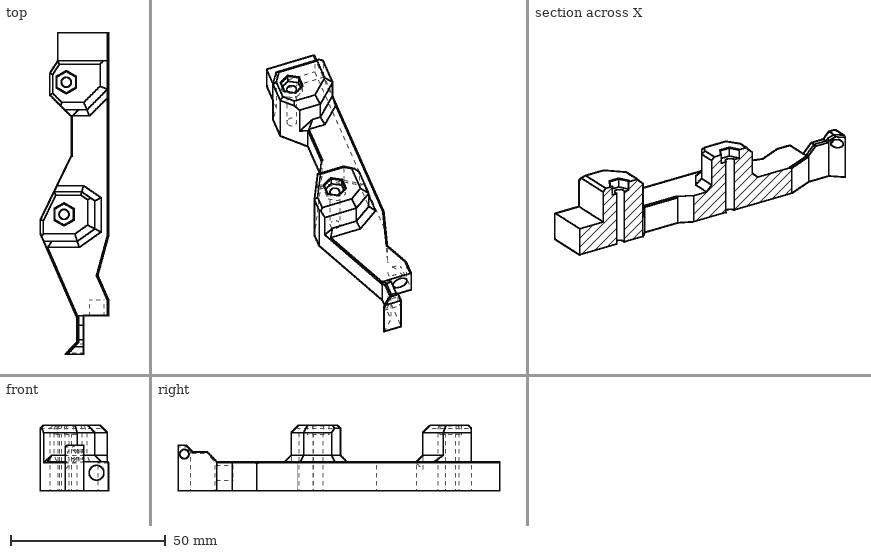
import cadquery as cq
import math

LENGTH = 104.0
WIDTH = 22.2
HEIGHT = 21.2

BODY_TOP = 9.5
EDGE_BEVEL = 0.4
FRONT_FACE_Y = 12.5
BLOCK_LEFT_X = 5.6
NECK_X = 10.0
NECK_FRONT_Y = 64.1
NOTCH_X = 18.6
NOTCH_Y = 25.5
NOTCH_FRONT_Y = 17.5
NOTCH_BACK_Y = 38.5
FRONT_HOLE_DIAMETER = 4.8
FRONT_HOLE_DEPTH = 5.2
FRONT_HOLE_X = 18.2
FRONT_HOLE_Z = 5.8

SMALL_BEVEL = 1.0
LARGE_BEVEL = 2.4
FOOT_SIZE = 2.0
BACK_BOSS_LEFT_X = 3.0
BACK_BOSS_LEFT_BACK_Y = 90.8
BACK_BOSS_LEFT_FRONT_Y = 84.0
BACK_BOSS_DIAGONAL_X = 15.1
BACK_BOSS_BACK_Y = 94.9
BACK_BOSS_FRONT_Y = 79.1
FRONT_BOSS_BACK_Y = 52.5
FRONT_BOSS_FRONT_Y = 36.5
FRONT_BOSS_LEFT_BACK_Y = 43.5
FRONT_BOSS_LEFT_FRONT_Y = 39.0
FRONT_BOSS_RIGHT_X = 17.7
FRONT_BOSS_RIGHT_BACK_Y = 49.6
FRONT_BOSS_RIGHT_FRONT_Y = 40.6
FRONT_BOSS_BACK_DIAGONAL_X = 13.4
FRONT_BOSS_FRONT_DIAGONAL_X = 12.0
NUT_ACROSS_FLATS = 6.0
NUT_DEPTH = 3.0
NUT_RIM_BEVEL = 0.2
BOLT_DIAMETER = 3.1
BACK_BOLT = (8.4, 88.0)
FRONT_BOLT = (7.7, 45.3)

TAIL_RIGHT_X = 14.0
TAIL_THICKNESS = 2.2
TAIL_LEFT_X = TAIL_RIGHT_X - TAIL_THICKNESS
TAIL_ROOT_Y = 11.8
TAIL_BEVEL = 0.5
HOOK_TIP_X = 8.1
HOOK_Y = 4.0
TAIL_STEP_Z = 12.6
TAIL_TIP_Z = 14.8
TAIL_STEP_FRONT_Y = 4.7
PIN_HOLE_DIAMETER = 2.9
PIN_HOLE_Y = 2.0
PIN_HOLE_Z = 11.9


def prism(outline, height):
    return cq.Workplane("XY").polyline(outline).close().extrude(height)


def point_at_y(start, end, y):
    """Point with the given y on the line from start to end."""
    share = (y - start[1]) / (end[1] - start[1])
    return (start[0] + share * (end[0] - start[0]), y)


def edge_wedge(start, end, top, bevel, reach, overrun=0.0):
    """Cutter for a 45 degree bevel along a top edge; the outside lies to the right of start -> end.

    The bevel plane continues for `reach` above and below the edge.
    """
    length = math.dist(start, end)
    along = ((end[0] - start[0]) / length, (end[1] - start[1]) / length)
    origin = (start[0] - overrun * along[0], start[1] - overrun * along[1], top - bevel)
    plane = cq.Plane(origin=origin, xDir=(along[1], -along[0], 0), normal=(along[0], along[1], 0))
    section = [(-reach, -reach), (reach, -reach), (reach, reach)]
    return cq.Workplane(plane).polyline(section).close().extrude(length + 2 * overrun)


def boss_column(walls):
    """Full-height column from counter-clockwise (corner, bevel of the wall that starts there) pairs."""
    corners = [corner for corner, _ in walls]
    column = prism(corners, HEIGHT)
    for index, (start, bevel) in enumerate(walls):
        if bevel:
            end = corners[(index + 1) % len(corners)]
            column = column.cut(edge_wedge(start, end, HEIGHT, bevel, bevel, LARGE_BEVEL))
    return column


def boss_foot(walls):
    """45 degree skirt around a boss where it stands on the body."""
    corners = [corner for corner, _ in walls]
    outline = cq.Workplane("XY", origin=(0, 0, BODY_TOP)).polyline(corners).close()
    return outline.offset2D(FOOT_SIZE, "intersection").extrude(FOOT_SIZE, taper=45)


def hexagon(center, z, across_flats):
    return (
        cq.Workplane("XY", origin=(*center, z))
        .transformed(rotate=(0, 0, 30))
        .polygon(6, across_flats / math.cos(math.pi / 6))
    )


def bolt_hole(center):
    """Cutter for a bolt hole with a hexagonal nut pocket that flares at its rim."""
    nut_pocket = hexagon(center, HEIGHT - NUT_DEPTH, NUT_ACROSS_FLATS).extrude(NUT_DEPTH)
    rim_across_flats = NUT_ACROSS_FLATS + 2 * NUT_RIM_BEVEL
    rim = hexagon(center, HEIGHT, rim_across_flats).extrude(-NUT_RIM_BEVEL, taper=45)
    shank = cq.Workplane("XY", origin=(*center, 0)).circle(BOLT_DIAMETER / 2).extrude(HEIGHT)
    return nut_pocket.union(rim).union(shank)


block_corner = (BLOCK_LEFT_X, BACK_BOSS_BACK_Y)
back_boss_left_back = (BACK_BOSS_LEFT_X, BACK_BOSS_LEFT_BACK_Y)
back_boss_left_front = (BACK_BOSS_LEFT_X, BACK_BOSS_LEFT_FRONT_Y)
neck_back = (NECK_X, BACK_BOSS_LEFT_FRONT_Y - (NECK_X - BACK_BOSS_LEFT_X))
neck_front = (NECK_X, NECK_FRONT_Y)
front_boss_left_back = (0, FRONT_BOSS_LEFT_BACK_Y)
front_boss_left_front = (0, FRONT_BOSS_LEFT_FRONT_Y)
tail_root = (TAIL_LEFT_X, TAIL_ROOT_Y)
front_right = (WIDTH, FRONT_FACE_Y)
notch_front = (WIDTH, NOTCH_FRONT_Y)
notch_bottom = (NOTCH_X, NOTCH_Y)
notch_back = (WIDTH, NOTCH_BACK_Y)
back_right = (WIDTH, LENGTH)

body_outline = [
    (BLOCK_LEFT_X, LENGTH),
    block_corner,
    back_boss_left_back,
    back_boss_left_front,
    neck_back,
    neck_front,
    front_boss_left_back,
    front_boss_left_front,
    tail_root,
    (TAIL_RIGHT_X, TAIL_ROOT_Y),
    (TAIL_RIGHT_X, FRONT_FACE_Y),
    front_right,
    notch_front,
    notch_bottom,
    notch_back,
    back_right,
]


back_boss_right_x = WIDTH - EDGE_BEVEL
back_boss_diagonal_y = BACK_BOSS_FRONT_Y + back_boss_right_x - BACK_BOSS_DIAGONAL_X
back_boss_walls = [
    (block_corner, SMALL_BEVEL),
    (back_boss_left_back, SMALL_BEVEL),
    (back_boss_left_front, SMALL_BEVEL),
    (point_at_y(back_boss_left_front, neck_back, BACK_BOSS_FRONT_Y), LARGE_BEVEL),
    ((BACK_BOSS_DIAGONAL_X, BACK_BOSS_FRONT_Y), LARGE_BEVEL),
    ((back_boss_right_x, back_boss_diagonal_y), LARGE_BEVEL),
    ((back_boss_right_x, BACK_BOSS_BACK_Y), SMALL_BEVEL),
]
front_boss_walls = [
    (point_at_y(neck_front, front_boss_left_back, FRONT_BOSS_BACK_Y), SMALL_BEVEL),
    (front_boss_left_back, SMALL_BEVEL),
    (front_boss_left_front, 0),
    (point_at_y(front_boss_left_front, tail_root, FRONT_BOSS_FRONT_Y), LARGE_BEVEL),
    ((FRONT_BOSS_FRONT_DIAGONAL_X, FRONT_BOSS_FRONT_Y), LARGE_BEVEL),
    ((FRONT_BOSS_RIGHT_X, FRONT_BOSS_RIGHT_FRONT_Y), LARGE_BEVEL),
    ((FRONT_BOSS_RIGHT_X, FRONT_BOSS_RIGHT_BACK_Y), SMALL_BEVEL),
    ((FRONT_BOSS_BACK_DIAGONAL_X, FRONT_BOSS_BACK_Y), SMALL_BEVEL),
]

body = prism(body_outline, BODY_TOP)
feet = boss_foot(back_boss_walls).union(boss_foot(front_boss_walls))
feet = feet.intersect(prism(body_outline, HEIGHT))
foot_space = cq.Workplane("XY").box(back_boss_right_x, BACK_BOSS_BACK_Y, HEIGHT, centered=False)
feet = feet.intersect(foot_space)
body = body.union(feet)

left_edges = [
    ((NECK_X, BACK_BOSS_FRONT_Y), neck_front),
    (front_boss_left_front, tail_root),
]
right_edges = [
    (front_right, notch_front),
    (notch_front, notch_bottom),
    (notch_bottom, notch_back),
    (notch_back, back_right),
]
for start, end in left_edges:
    body = body.cut(edge_wedge(start, end, BODY_TOP, EDGE_BEVEL, 2 * FOOT_SIZE))
for start, end in right_edges:
    body = body.cut(edge_wedge(start, end, BODY_TOP, EDGE_BEVEL, EDGE_BEVEL, EDGE_BEVEL / 2))

blade_outline = [
    (TAIL_LEFT_X, FRONT_FACE_Y),
    (TAIL_LEFT_X, 0),
    (TAIL_RIGHT_X, 0),
    (TAIL_RIGHT_X, FRONT_FACE_Y),
]
hook_outline = [
    (TAIL_LEFT_X, HOOK_Y),
    (HOOK_TIP_X, 0),
    (TAIL_RIGHT_X, 0),
    (TAIL_RIGHT_X, HOOK_Y),
]
step_rise = TAIL_STEP_Z - BODY_TOP
tip_rise = TAIL_TIP_Z - TAIL_STEP_Z
tail_profile = [
    (0, 0),
    (FRONT_FACE_Y, 0),
    (FRONT_FACE_Y, BODY_TOP),
    (FRONT_FACE_Y - step_rise, TAIL_STEP_Z),
    (TAIL_STEP_FRONT_Y, TAIL_STEP_Z),
    (TAIL_STEP_FRONT_Y - tip_rise, TAIL_TIP_Z),
    (0, TAIL_TIP_Z),
]
tail_side = cq.Workplane("YZ").polyline(tail_profile).close().extrude(WIDTH)


def tail_piece(outline):
    piece = prism(outline, TAIL_TIP_Z).intersect(tail_side)
    return piece.faces("<X").edges("not(|Z or <Z)").chamfer(TAIL_BEVEL)


tail = tail_piece(blade_outline).union(tail_piece(hook_outline))
pin_hole = (
    cq.Workplane("YZ").center(PIN_HOLE_Y, PIN_HOLE_Z).circle(PIN_HOLE_DIAMETER / 2).extrude(WIDTH)
)
tail = tail.cut(pin_hole)

front_hole = (
    cq.Workplane("XZ", origin=(FRONT_HOLE_X, FRONT_FACE_Y, FRONT_HOLE_Z))
    .circle(FRONT_HOLE_DIAMETER / 2)
    .extrude(-FRONT_HOLE_DEPTH)
)

result = body.union(tail).cut(front_hole)
for walls, bolt in ((back_boss_walls, BACK_BOLT), (front_boss_walls, FRONT_BOLT)):
    result = result.union(boss_column(walls)).cut(bolt_hole(bolt))